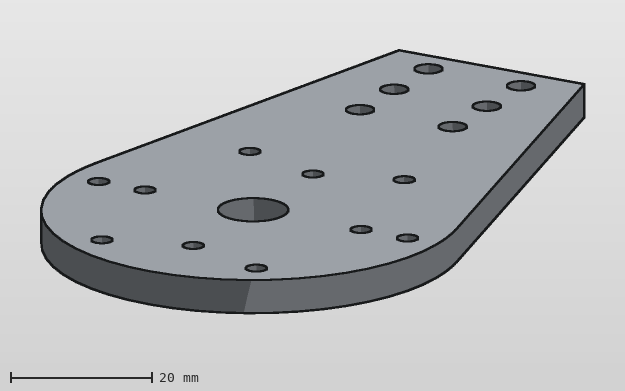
import cadquery as cq
import math

length = 100.1
thickness = 5.0
round_diameter = 60.0
flat_end_width = 30.0
blend_radius = 33.0
round_radius = round_diameter / 2
flat_end_y = length - round_radius

bore_diameter = 10.0
bore_y = 0.2
small_hole_diameter = 3.0
inner_circle_radius = 17.5
outer_circle_radius = 25.0
mount_hole_diameter = 4.0
mount_column_spacing = 15.0
mount_row_pitch = 10.0
mount_edge_distance = 5.0


def make_plate():
    """Plate with a semicircular end, tangent blend arcs and straight tapered sides."""
    half_flat = flat_end_width / 2
    blend_center_x = round_radius - blend_radius
    corner_dx = half_flat - blend_center_x
    corner_distance = math.hypot(corner_dx, flat_end_y)
    corner_angle = math.atan2(flat_end_y, corner_dx)
    tangent_angle = corner_angle - math.acos(blend_radius / corner_distance)

    def blend_point(angle):
        return (
            blend_center_x + blend_radius * math.cos(angle),
            blend_radius * math.sin(angle),
        )

    tangent_x, tangent_y = blend_point(tangent_angle)
    middle_x, middle_y = blend_point(tangent_angle / 2)
    return (
        cq.Workplane("XY")
        .moveTo(-half_flat, flat_end_y)
        .lineTo(-tangent_x, tangent_y)
        .threePointArc((-middle_x, middle_y), (-round_radius, 0))
        .threePointArc((0, -round_radius), (round_radius, 0))
        .threePointArc((middle_x, middle_y), (tangent_x, tangent_y))
        .lineTo(half_flat, flat_end_y)
        .close()
        .extrude(thickness)
    )


def make_holes(points, diameter):
    """Cylinders through the plate thickness at the given centres."""
    return cq.Workplane("XY").pushPoints(points).circle(diameter / 2).extrude(thickness)


def circle_points(radius, count):
    """Evenly spaced points on a circle about the bore, starting on +X."""
    angles = [2 * math.pi * i / count for i in range(count)]
    return [(radius * math.cos(a), bore_y + radius * math.sin(a)) for a in angles]


mount_points = [
    (side * mount_column_spacing / 2, flat_end_y - mount_edge_distance - row * mount_row_pitch)
    for side in (-1, 1)
    for row in range(3)
]

result = (
    make_plate()
    .cut(make_holes([(0, bore_y)], bore_diameter))
    .cut(make_holes(circle_points(inner_circle_radius, 4), small_hole_diameter))
    .cut(make_holes(circle_points(outer_circle_radius, 6), small_hole_diameter))
    .cut(make_holes(mount_points, mount_hole_diameter))
)